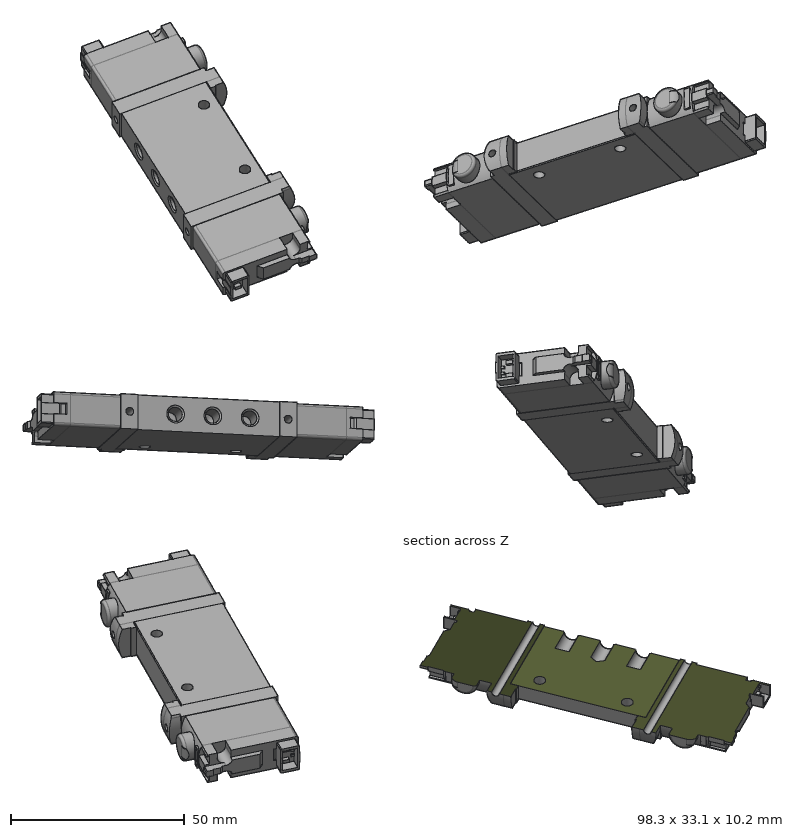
import cadquery as cq
import math


length = 98.3
thickness = 10.2
mount_front = 0.0
mount_back = 33.1

valve_half_length = 20.9
valve_front = 0.6
valve_back = 27.8
valve_edge_chamfer = 0.3
port_diameter = 4.1
port_mouth_diameter = 5.2
port_mouth_depth = 0.4
port_depth = 7.9
port_pitch = 11.0
middle_port_x = 1.3
drill_half_angle = 59.0
mounting_hole_diameter = 3.2
mounting_hole_x = 13.5
mounting_hole_y = 23.3

plate_inner = valve_half_length
plate_outer = 26.05
tab_inner = 18.6
tab_foot_inner = 18.3
tab_outer_edge = 24.8
tab_bevel_x = 0.4
tab_bevel_z = 0.6
tab_back_edge = 32.0
plate_hole_diameter = 2.3
plate_hole_x = 23.4

coil_height = 9.9
coil_front = valve_front
coil_back = 29.5
coil_back_edge = 28.2
coil_outer = 40.8
cap_outer = 45.6
cap_back = 29.2
coil_front_fillet = 0.8

button_diameter = 8.1
button_x = 33.6
button_top = 32.5
button_fillet = 0.9
button_grip_width = 3.9
button_grip_edge = 31.2
button_grip_radius = 2.8

pad_inner = 38.3
pad_outer = 40.1
pad_width = 6.9
pad_root = 28.2

groove_diameter = 4.1
groove_y = 23.2
tongue_half_height = 2.1 / 2
latch_front = 11.5
latch_bevel = 1.4
latch_outer = 47.1
latch_half_height = 5.0 / 2
tongue_ramp_start = 24.2
tongue_ramp_end = 25.0
tongue_step_y = 27.2
tongue_mid_outer = 47.7
tongue_tip_outer = 48.0
tongue_tip_chamfer = 0.3
cap_notch_front = 27.7
cap_notch_bottom = 1.6
cap_notch_top = 4.3

socket_outer = length / 2
socket_front = 1.5
socket_back = 7.3
socket_height = 8.65
socket_chamfer = 0.3
socket_wall_y = 0.6
socket_wall_z = 0.9
socket_floor = 46.0
pin_outer = 47.2
pin_front = 3.8
pin_back = 5.8
pin_bottom = 1.5
pin_top = 2.6
key_outer = 46.5
key_bottom = 0.6
key_top = 1.3
key_back = 3.1
relief_back = 8.1
relief_height = 4.1
relief_depth = 0.5
clip_height = 3.2
clip_front = 1.3
clip_inner = 43.8
clip_ramp_inner = 43.3
clip_pocket_inner = 41.9
clip_pocket_floor = 2.0
clip_tip_front = 1.7


def block(outer, inner, front, back, bottom, top):
    """Box on the -X side between two outward distances, two Y and two Z positions."""
    size = (outer - inner, back - front, top - bottom)
    return cq.Workplane("XY").box(*size, centered=False).translate((-outer, front, bottom))


def centred_block(outer, inner, front, back, height):
    return block(outer, inner, front, back, -height / 2, height / 2)


def mirrored_z(shape):
    return shape.union(shape.mirror("XY"), clean=False)


def crowned_bar(outer, inner, front, back_edge, crown, height):
    """Bar along X whose back face is an arc bulging toward +Y."""
    half = height / 2
    return (
        cq.Workplane("YZ", origin=(-outer, 0, 0))
        .moveTo(back_edge, -half)
        .lineTo(front, -half)
        .lineTo(front, half)
        .lineTo(back_edge, half)
        .threePointArc((crown, 0), (back_edge, -half))
        .close()
        .extrude(outer - inner)
    )


def front_cylinder(diameter, x, front, depth):
    """Cylinder along +Y starting at the given front position."""
    plane = cq.Workplane("XZ", origin=(x, front, 0))
    return plane.circle(diameter / 2).extrude(-depth)


def port_cutter(x, pointed):
    """Port bore with a countersunk mouth and, if pointed, a drill-tip bottom."""
    radius = port_diameter / 2
    tip = radius / math.tan(math.radians(drill_half_angle)) if pointed else 0
    profile = [
        (0, 0),
        (port_mouth_diameter / 2, 0),
        (radius, port_mouth_depth),
        (radius, port_depth),
        (0, port_depth + tip),
    ]
    cutter = cq.Workplane("XY").polyline(profile).close().revolve(360, (0, 0), (0, 1))
    return cutter.translate((x, valve_front, 0))


def make_valve_body():
    body = centred_block(valve_half_length, -valve_half_length, valve_front, valve_back, thickness)
    body = body.faces(">Y").edges("|X").chamfer(valve_edge_chamfer)
    for step in (-1, 0, 1):
        body = body.cut(port_cutter(middle_port_x + step * port_pitch, pointed=step == 0))
    for side in (-1, 1):
        hole = cq.Workplane("XY").circle(mounting_hole_diameter / 2).extrude(thickness)
        body = body.cut(hole.translate((side * mounting_hole_x, mounting_hole_y, -thickness / 2)))
    return body


def make_mounting_plate():
    """Plate across the valve end, with a crowned tab reaching over the valve's back face."""
    half = thickness / 2
    arc_x = -tab_outer_edge - tab_bevel_x
    arc_z = half - tab_bevel_z
    plate = centred_block(plate_outer, plate_inner, mount_front, coil_back, thickness)
    tab_outline = (
        cq.Workplane("XZ", origin=(0, coil_back, 0))
        .moveTo(-plate_inner, -half)
        .lineTo(-plate_inner, half)
        .lineTo(-tab_outer_edge, half)
        .lineTo(arc_x, arc_z)
        .threePointArc((-plate_outer, 0), (arc_x, -arc_z))
        .lineTo(-tab_outer_edge, -half)
        .close()
        .extrude(coil_back - mount_back)
    )
    crown = crowned_bar(plate_outer, plate_inner, mount_front, tab_back_edge, mount_back, thickness)
    tab = tab_outline.intersect(crown)
    overhang = crowned_bar(plate_inner, tab_inner, valve_back, tab_back_edge, mount_back, thickness)
    foot = centred_block(plate_inner, tab_foot_inner, valve_back, coil_back, thickness)
    plate = plate.union(tab).union(overhang.union(foot), clean=False)
    bore = front_cylinder(plate_hole_diameter, -plate_hole_x, mount_front, mount_back)
    return plate.cut(bore, clean=False)


def make_coil_section(outer, inner):
    section = crowned_bar(outer, inner, coil_front, coil_back_edge, coil_back, coil_height)
    return section.faces("<Y").edges("|X").fillet(coil_front_fillet)


def make_button():
    """Round button with a finger relief rolled over the outward side of its top."""
    button = front_cylinder(button_diameter, -button_x, coil_back_edge, button_top - coil_back_edge)
    button = button.faces(">Y").edges().fillet(button_fillet)
    rim_x = -button_x - button_diameter / 2
    arc_centre_y = button_top - button_grip_radius
    arc_angle = math.acos((button_grip_edge - arc_centre_y) / button_grip_radius)
    crest_x = rim_x + button_grip_radius * math.sin(arc_angle)
    arc_middle = (
        crest_x - button_grip_radius * math.sin(arc_angle / 2),
        arc_centre_y + button_grip_radius * math.cos(arc_angle / 2),
    )
    relief = (
        cq.Workplane("XY")
        .moveTo(rim_x, button_grip_edge)
        .threePointArc(arc_middle, (crest_x, button_top))
        .lineTo(rim_x, button_top)
        .close()
        .extrude(button_grip_width / 2, both=True)
    )
    return button.cut(relief)


def make_groove_cutter():
    """U-shaped hand groove along X, open upward, with a round floor tangent to the tongue."""
    radius = groove_diameter / 2
    axis_z = tongue_half_height + radius
    channel = (
        cq.Workplane("YZ", origin=(-length / 2, 0, 0))
        .moveTo(groove_y - radius, axis_z)
        .threePointArc((groove_y, tongue_half_height), (groove_y + radius, axis_z))
        .lineTo(groove_y + radius, thickness)
        .lineTo(groove_y - radius, thickness)
        .close()
        .extrude(length / 2 - coil_outer)
    )
    return mirrored_z(channel)


def make_cap():
    cap = make_coil_section(cap_outer, coil_outer)
    cap = cap.intersect(centred_block(cap_outer, coil_outer, mount_front, cap_back, thickness))
    notch = block(cap_outer, coil_outer, cap_notch_front, coil_back, cap_notch_bottom, cap_notch_top)
    return cap.cut(mirrored_z(notch))


def make_latch():
    """Bevelled plate that narrows past the groove into a stepped tongue."""
    plan = [
        (-cap_outer, latch_front),
        (-latch_outer, latch_front + latch_bevel),
        (-latch_outer, tongue_ramp_start),
        (-tongue_mid_outer, tongue_ramp_end),
        (-tongue_mid_outer, tongue_step_y),
        (-tongue_tip_outer, tongue_step_y),
        (-tongue_tip_outer, coil_back),
        (-cap_outer, coil_back),
    ]
    wide = cq.Workplane("XY").polyline(plan).close().extrude(latch_half_height, both=True)
    wide = wide.intersect(
        centred_block(length / 2, cap_outer, latch_front, groove_y, 2 * latch_half_height)
    )
    tongue = cq.Workplane("XY").polyline(plan).close().extrude(tongue_half_height, both=True)
    tongue = tongue.faces(">Y").edges("|X").chamfer(tongue_tip_chamfer)
    return wide.union(tongue)


def make_socket():
    """Open connector shell with two contact pins and two key ribs inside."""
    shell = centred_block(socket_outer, cap_outer, socket_front, socket_back, socket_height)
    shell = shell.edges("|X").chamfer(socket_chamfer)
    cavity_front = socket_front + socket_wall_y
    cavity_back = socket_back - socket_wall_y
    cavity_height = socket_height - 2 * socket_wall_z
    shell = shell.cut(centred_block(socket_outer, socket_floor, cavity_front, cavity_back, cavity_height))
    pin = block(pin_outer, cap_outer, pin_front, pin_back, pin_bottom, pin_top)
    key = block(key_outer, cap_outer, socket_front, key_back, key_bottom, key_top)
    return shell.union(mirrored_z(pin)).union(mirrored_z(key))


def make_clip_channel():
    """Clearance in the cap front for the connector clip, with a pocket past its hook."""
    return centred_block(cap_outer, clip_pocket_inner, mount_front, clip_pocket_floor, clip_height)


def make_clip():
    """Connector clip bar with a ramped end."""
    profile = [
        (-socket_outer, clip_front),
        (-clip_inner, clip_front),
        (-clip_ramp_inner, clip_tip_front),
        (-clip_ramp_inner, clip_pocket_floor),
        (-cap_outer, clip_pocket_floor),
        (-cap_outer, socket_front + socket_wall_y),
        (-socket_outer, socket_front + socket_wall_y),
    ]
    return cq.Workplane("XY").polyline(profile).close().extrude(clip_height / 2, both=True)


def make_end_unit():
    """End unit on the -X side, with the seams kept where its sections meet flush."""
    coil = make_coil_section(coil_outer, plate_outer)
    pad = centred_block(pad_outer, pad_inner, pad_root, coil_back, pad_width)
    coil = coil.union(make_button()).union(pad)

    cap = make_cap().union(make_latch()).cut(make_groove_cutter())
    relief = centred_block(
        cap_outer, cap_outer - relief_depth, socket_back, relief_back, relief_height
    )
    cap = cap.cut(relief).cut(make_clip_channel())
    cap = cap.union(make_socket()).union(make_clip())

    return make_mounting_plate().union(coil, clean=False).union(cap, clean=False)


valve_body = make_valve_body()
left_unit = make_end_unit()
end_units = [left_unit, left_unit.mirror("YZ")]

result = cq.Compound.makeCompound([valve_body.val(), *[unit.val() for unit in end_units]])